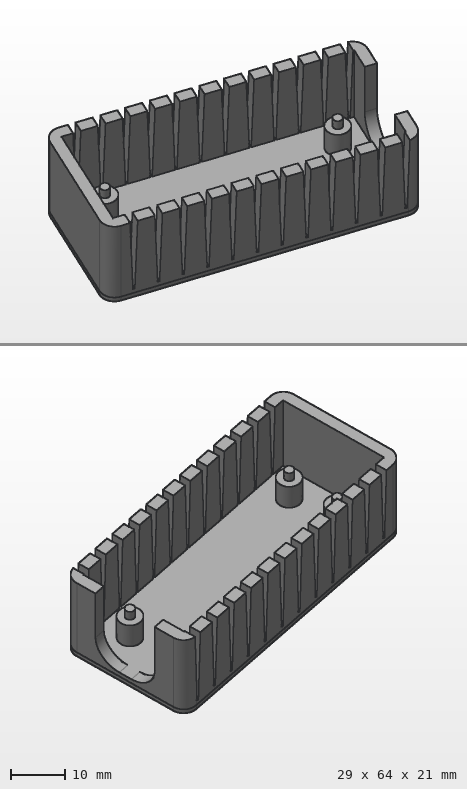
import cadquery as cq

WIDTH = 29.0
LENGTH = 64.0
CORNER_RADIUS = 3.0
CASE_HEIGHT = 19.0

PLATE_THICKNESS = 1.0
PAD_DIAMETER = 6.5
PAD_HEIGHT = 2.0
PAD_PITCH = 8.0
PAD_COLUMNS = 2
PAD_ROWS = 3
PAD_FIELD_Y = -0.25

WALL = 2.5
FLOOR_THICKNESS = 1.0
FLOOR_TOP = PLATE_THICKNESS + FLOOR_THICKNESS

SLOT_COUNT = 12
SLOT_PITCH = 5.0
SLOT_TOP_WIDTH = 1.55
SLOT_BOTTOM_WIDTH = 0.4
SLOT_FIELD_Y = 1.1

NOTCH_WIDTH = 14.1
NOTCH_FLAT_WIDTH = 2.9
NOTCH_CORNER_RADIUS = (NOTCH_WIDTH - NOTCH_FLAT_WIDTH) / 2

POST_DIAMETER = 5.0
POST_HEIGHT = 5.45
PIN_DIAMETER = 2.0
PIN_HEIGHT = 2.05
POST_SPACING_X = 11.4
POST_SPACING_Y = 47.0


def rounded_block(z_bottom, height):
    """Block with the outer footprint of the case and rounded vertical edges."""
    block = cq.Workplane("XY").workplane(offset=z_bottom).rect(WIDTH, LENGTH).extrude(height)
    return block.edges("|Z").fillet(CORNER_RADIUS)


def make_plate():
    """Base plate with a grid of round pads on its underside."""
    pads = (
        cq.Workplane("XY")
        .center(0, PAD_FIELD_Y)
        .rarray(PAD_PITCH, PAD_PITCH, PAD_COLUMNS, PAD_ROWS)
        .circle(PAD_DIAMETER / 2)
        .extrude(-PAD_HEIGHT)
    )
    return rounded_block(0, PLATE_THICKNESS).union(pads)


def make_tray():
    """Open-topped tray with square inner corners."""
    cavity = (
        cq.Workplane("XY")
        .workplane(offset=FLOOR_TOP)
        .rect(WIDTH - 2 * WALL, LENGTH - 2 * WALL)
        .extrude(CASE_HEIGHT - FLOOR_TOP)
    )
    return rounded_block(PLATE_THICKNESS, CASE_HEIGHT - PLATE_THICKNESS).cut(cavity)


def slot_cutter(y_centre):
    """Tapered slot running across the full width, from the rim down to the floor."""
    return (
        cq.Workplane("YZ")
        .polyline([
            (y_centre - SLOT_BOTTOM_WIDTH / 2, FLOOR_TOP),
            (y_centre + SLOT_BOTTOM_WIDTH / 2, FLOOR_TOP),
            (y_centre + SLOT_TOP_WIDTH / 2, CASE_HEIGHT),
            (y_centre - SLOT_TOP_WIDTH / 2, CASE_HEIGHT),
        ])
        .close()
        .extrude(WIDTH / 2, both=True)
    )


def notch_cutter():
    """U-shaped notch through the +Y end wall, its lower corners rounded into the floor."""
    notch_height = CASE_HEIGHT - FLOOR_TOP
    notch = cq.Workplane("XY").box(NOTCH_WIDTH, WALL, notch_height, centered=(True, True, False))
    corners = notch.edges("|Y and <Z")
    return corners.fillet(NOTCH_CORNER_RADIUS).translate((0, (LENGTH - WALL) / 2, FLOOR_TOP))


def post_grid(diameter, height):
    """One cylinder at each of the four post positions, standing on the floor."""
    return (
        cq.Workplane("XY")
        .workplane(offset=FLOOR_TOP)
        .rarray(POST_SPACING_X, POST_SPACING_Y, 2, 2)
        .circle(diameter / 2)
        .extrude(height)
    )


def make_posts():
    """Four stepped posts: a wide shoulder with a thin locating pin on top."""
    shoulders = post_grid(POST_DIAMETER, POST_HEIGHT)
    pins = post_grid(PIN_DIAMETER, POST_HEIGHT + PIN_HEIGHT)
    return shoulders.union(pins)


def make_housing():
    """Tray with slotted side walls, a notched end wall and mounting posts."""
    body = make_tray()
    for index in range(SLOT_COUNT):
        y_centre = SLOT_FIELD_Y + (index - (SLOT_COUNT - 1) / 2) * SLOT_PITCH
        body = body.cut(slot_cutter(y_centre))
    return body.cut(notch_cutter()).union(make_posts())


plate = make_plate()
housing = make_housing()

result = cq.Compound.makeCompound([plate.val(), housing.val()])